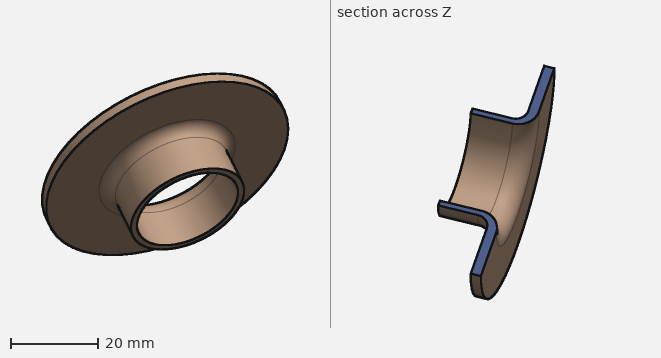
import cadquery as cq

flange_diameter = 60.0
flange_thickness = 2.5

overall_length = 15.0
tube_diameter = 28.0
bore_diameter = 25.0

mouth_radius = 5.0
neck_radius = 2.9

flange_outer = flange_diameter / 2
tube_outer = tube_diameter / 2
tube_inner = bore_diameter / 2

section = (
    cq.Workplane("XY")
    .moveTo(0, tube_inner + mouth_radius)
    .lineTo(0, flange_outer)
    .lineTo(flange_thickness, flange_outer)
    .lineTo(flange_thickness, tube_outer + neck_radius)
    .tangentArcPoint((flange_thickness + neck_radius, tube_outer), relative=False)
    .lineTo(overall_length, tube_outer)
    .lineTo(overall_length, tube_inner)
    .lineTo(mouth_radius, tube_inner)
    .tangentArcPoint((0, tube_inner + mouth_radius), relative=False)
    .close()
)

result = section.revolve(360, (0, 0, 0), (1, 0, 0))